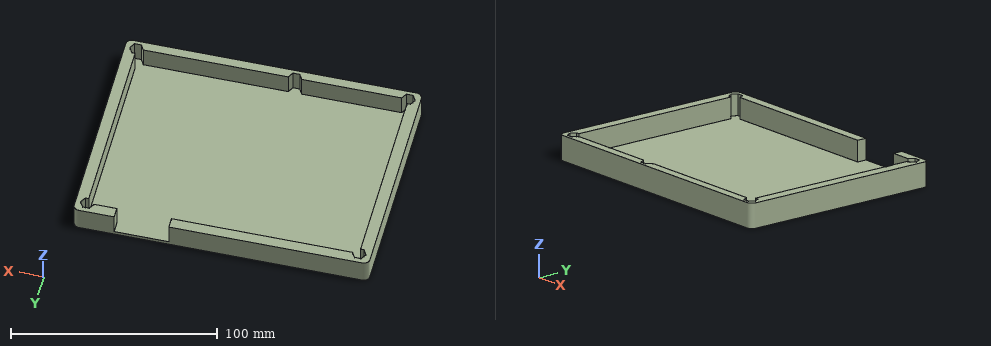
import cadquery as cq
import math

LENGTH = 147.36
WIDTH = 111.06
HEIGHT = 13.0
CORNER_RADIUS = 3.0

FLOOR_THICKNESS = 2.0
SIDE_WALL = 6.0
FRONT_WALL = 4.9
BACK_WALL = 5.45
POCKET_RIGHT = LENGTH / 2 - SIDE_WALL
POCKET_FRONT = FRONT_WALL - WIDTH / 2
POCKET_BACK = WIDTH / 2 - BACK_WALL
POCKET_DEPTH = HEIGHT - FLOOR_THICKNESS

HEX_SIDES = 6
HEX_ACROSS_FLATS = 5.8
HEX_ACROSS_CORNERS = HEX_ACROSS_FLATS / math.cos(math.pi / HEX_SIDES)
FRONT_HEX_X = -11.2

OPENING_LEFT = 25.8
OPENING_RIGHT = 53.0


def tray_body():
    """Solid block with rounded vertical corners, resting on Z = 0."""
    block = cq.Workplane("XY").box(LENGTH, WIDTH, HEIGHT, centered=(True, True, False))
    return block.edges("|Z").fillet(CORNER_RADIUS)


def pocket():
    """Rectangular interior above the floor."""
    return (
        cq.Workplane("XY", origin=(-POCKET_RIGHT, POCKET_FRONT, FLOOR_THICKNESS))
        .box(2 * POCKET_RIGHT, POCKET_BACK - POCKET_FRONT, POCKET_DEPTH, centered=False)
    )


def hex_recesses():
    """Hexagonal recesses at the pocket corners and one left of the middle of the front wall."""
    centers = [(x, y) for x in (-POCKET_RIGHT, POCKET_RIGHT) for y in (POCKET_FRONT, POCKET_BACK)]
    centers.append((FRONT_HEX_X, POCKET_FRONT))
    return (
        cq.Workplane("XY", origin=(0, 0, FLOOR_THICKNESS))
        .pushPoints(centers)
        .polygon(HEX_SIDES, HEX_ACROSS_CORNERS)
        .extrude(POCKET_DEPTH)
    )


def back_opening():
    """Gap that removes the back wall over part of its length."""
    opening = cq.Workplane("XY", origin=(OPENING_LEFT, POCKET_BACK, FLOOR_THICKNESS))
    return opening.box(OPENING_RIGHT - OPENING_LEFT, BACK_WALL, POCKET_DEPTH, centered=False)


result = tray_body().cut(pocket()).cut(hex_recesses()).cut(back_opening())